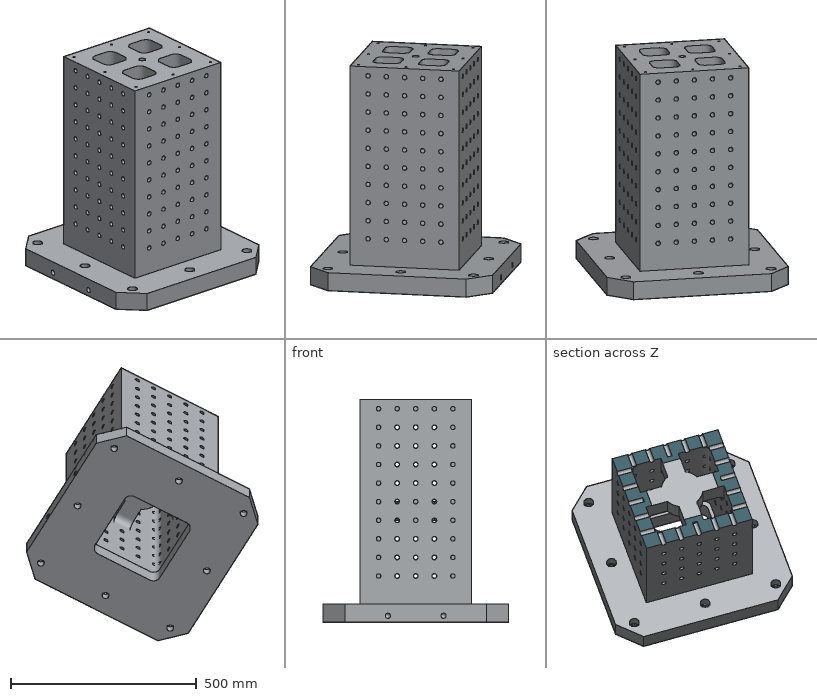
import cadquery as cq
import math

height = 600.0
pitch = height / 12

base_side = 10 * pitch
base_thickness = pitch
base_corner_cut = 60.0
base_opening_side = 4 * pitch
mount_hole_spacing = 4 * pitch
mount_hole_diameter = 18.0
mount_counterbore_diameter = 26.0
mount_counterbore_depth = base_thickness / 2
side_hole_offset = 1.5 * pitch
side_hole_height = 18.0
side_hole_diameter = 14.0
side_hole_depth = 30.0

column_side = 6 * pitch
wall = 40.0
cavity_side = column_side - 2 * wall
corner_radius = 20.0

cross_thickness = pitch
cross_bar_width = pitch
window_side = 1.5 * pitch
window_offset = (cross_bar_width + window_side) / 2
brace_height = height / 2
arm_root_radius = 20.0
hub_radius = 56.0

grid_columns = 5
grid_rows = 10
grid_hole_diameter = 12.0
top_row_height = height - pitch / 2
cover_hole_diameter = 5.0
cover_hole_depth = 12.0
cover_hole_spacing = 130.0
lift_hole_diameter = 17.5
lift_hole_depth = 36.0
drill_point_angle = 118


def ring_positions(spacing):
    """Eight points: the corners and side middles of a square."""
    steps = (-spacing, 0, spacing)
    return [(x, y) for x in steps for y in steps if (x, y) != (0, 0)]


def rounded_block(side, bottom, top):
    """Upright square prism with rounded corners."""
    block = cq.Workplane("XY", origin=(0, 0, bottom)).rect(side, side).extrude(top - bottom)
    return block.edges("|Z").fillet(corner_radius)


def window_blocks(bottom, top):
    """Four rounded square prisms that leave a cross between them."""
    blocks = (
        cq.Workplane("XY", origin=(0, 0, bottom))
        .rarray(2 * window_offset, 2 * window_offset, 2, 2)
        .rect(window_side, window_side)
        .extrude(top - bottom)
    )
    return blocks.edges("|Z").fillet(corner_radius)


def drill(radius, depth, position, direction):
    """Blind drilled hole: a cylinder with a conical end."""
    tip = radius / math.tan(math.radians(drill_point_angle / 2))
    profile = cq.Workplane("XZ").polyline([(0, 0), (radius, 0), (radius, depth), (0, depth + tip)]).close()
    tool = profile.revolve(360, (0, 0, 0), (0, 1, 0)).val()
    return cq.Workplane(tool.moved(cq.Plane(position, normal=direction).location))


def build_base():
    """Square plate with cut corners and counterbored mounting holes."""
    base = cq.Workplane("XY").rect(base_side, base_side).extrude(base_thickness)
    base = base.edges("|Z").chamfer(base_corner_cut)
    return (
        base.faces(">Z")
        .workplane()
        .pushPoints(ring_positions(mount_hole_spacing))
        .cboreHole(mount_hole_diameter, mount_counterbore_diameter, mount_counterbore_depth)
    )


def brace_arm():
    """Bar along X between two cavity walls, flaring into the walls above and below."""
    end = cavity_side / 2
    root = end - arm_root_radius
    low = -cross_thickness / 2
    high = cross_thickness / 2
    blend = arm_root_radius * (1 - math.sqrt(0.5))
    profile = (
        cq.Workplane("XZ", origin=(0, cross_bar_width / 2, brace_height))
        .moveTo(-root, high)
        .lineTo(root, high)
        .threePointArc((end - blend, high + blend), (end, high + arm_root_radius))
        .lineTo(end, low - arm_root_radius)
        .threePointArc((end - blend, low - blend), (root, low))
        .lineTo(-root, low)
        .threePointArc((-end + blend, low - blend), (-end, low - arm_root_radius))
        .lineTo(-end, high + arm_root_radius)
        .threePointArc((-end + blend, high + blend), (-root, high))
        .close()
    )
    return profile.extrude(cross_bar_width)


def build_brace():
    """Mid-height cross of two arms with a round hub."""
    arm = brace_arm()
    hub_bottom = brace_height - cross_thickness / 2
    hub = cq.Workplane("XY", origin=(0, 0, hub_bottom)).circle(hub_radius).extrude(cross_thickness)
    return arm.union(arm.rotate((0, 0, 0), (0, 0, 1), 90)).union(hub)


def grid_hole_tools():
    """Flat-bottomed holes through the depth of the wall on all four sides."""
    middle = (grid_columns - 1) / 2
    points = [
        ((column - middle) * pitch, top_row_height - row * pitch)
        for column in range(grid_columns)
        for row in range(grid_rows)
    ]
    side = (
        cq.Workplane("XZ", origin=(0, -column_side / 2, 0))
        .pushPoints(points)
        .circle(grid_hole_diameter / 2)
        .extrude(-wall)
    )
    tools = [side.rotate((0, 0, 0), (0, 0, 1), 90 * turn) for turn in range(4)]
    return [solid for tool in tools for solid in tool.vals()]


column = cq.Workplane("XY").rect(column_side, column_side).extrude(height)
result = build_base().union(column)
result = result.cut(rounded_block(base_opening_side, 0, base_thickness))
result = result.cut(rounded_block(cavity_side, base_thickness, height - cross_thickness))
result = result.cut(window_blocks(height - cross_thickness, height))

for tool in grid_hole_tools():
    result = result.cut(cq.Workplane(tool))

result = result.union(build_brace())

up_to_down = (0, 0, -1)
result = result.cut(drill(lift_hole_diameter / 2, lift_hole_depth, (0, 0, height), up_to_down))
for x, y in ring_positions(cover_hole_spacing):
    result = result.cut(drill(cover_hole_diameter / 2, cover_hole_depth, (x, y, height), up_to_down))

for x in (-side_hole_offset, side_hole_offset):
    entry = (x, -base_side / 2, side_hole_height)
    result = result.cut(drill(side_hole_diameter / 2, side_hole_depth, entry, (0, 1, 0)))